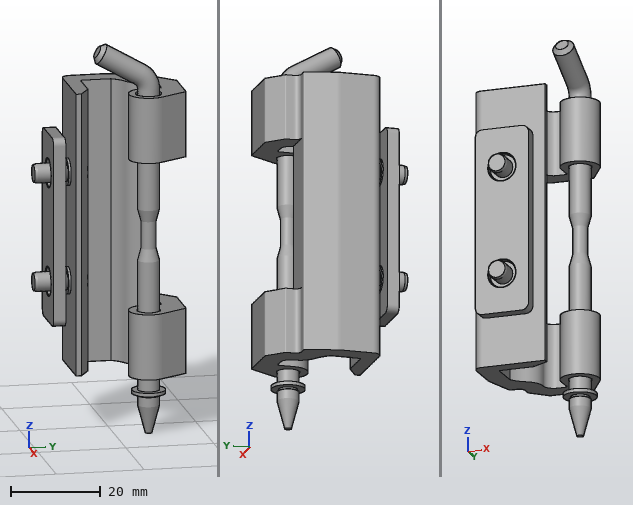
import cadquery as cq
import math

housing_bottom = 13.2
housing_height = 64.9
housing_top = housing_bottom + housing_height
mid_height = housing_bottom + housing_height / 2

pin_x = 19.5
pin_y = 16.0
pin_diameter = 4.9
pin_radius = pin_diameter / 2

stud_x = 8.5
stud_spacing = 25.0
stud_heights = [mid_height - stud_spacing / 2, mid_height + stud_spacing / 2]
stud_diameter = 4.4

knuckle_height = 15.0
barrel_radius = 4.5
cavity_right_x = pin_x - barrel_radius
bore_diameter = 5.2
countersink_diameter = 5.8
back_y = 24.5
back_left_x = 9.2
back_right_x = 19.6
ledge_y = 17.6
ledge_left_x = 2.2
ledge_right_x = 5.3
ledge_wall_top = 20.85
side_bend_y = 10.0
floor_y = 3.5
lip_x = 17.1
lip_thickness = 1.2
lip_slope_x = 13.0
cavity_left_x = 4.85
hollow_end_y = 10.4
bulge_radius = 4.8
bulge_sweep = 62
cavity_neck_x = 10.2
cavity_neck_y = 17.3
cavity_top_y = 19.9
cavity_top_radius = 2.3
cavity_corner_radius = 0.45
front_corner_radius = 2.0
ledge_root_radius = 1.35
side_bend_radius = 3.0
edge_radius = 0.45

neck_diameter = 3.4
neck_half_length = 3.1
taper_length = 2.8
groove_diameter = 4.3
groove_bottom = 8.6
groove_top = 10.0
tip_diameter = 1.5
tip_cone_length = 6.4
bend_start = housing_top + 1.1
bend_radius = 3.95
bend_angle = 60
handle_length = 11.2
handle_chamfer = 1.0

ring_diameter = 7.6
ring_thickness = 0.8

plate_width = 12.7
plate_height = 43.3
plate_thickness = 2.8
plate_gap = 1.9
plate_corner_radius = 1.6
plate_hole_diameter = 6.4
plate_hole_chamfer = 0.2

flange_diameter = 6.2
flange_thickness = 0.5
collar_start = 1.6
collar_thickness = 2.0
stud_length = 8.0
stud_tip_diameter = 3.95
stud_tip_length = 0.7
head_diameter = 6.2
head_top_diameter = 3.6
head_height = 0.5


def upright_cylinder(diameter, bottom, height):
    """Cylinder on the pin axis."""
    return cq.Workplane("XY", origin=(pin_x, pin_y, bottom)).circle(diameter / 2).extrude(height)


def barrel_tangent_point():
    """Point where the sloping line from the back right corner touches the barrel."""
    dx = back_right_x - pin_x
    dy = back_y - pin_y
    touch_angle = math.atan2(dy, dx) - math.acos(barrel_radius / math.hypot(dx, dy))
    return (
        pin_x + barrel_radius * math.cos(touch_angle),
        pin_y + barrel_radius * math.sin(touch_angle),
    )


def housing_profile():
    """Hook-shaped cross-section with sharp outer corners, extruded to full height."""
    bulge_center_x = cavity_neck_x - bulge_radius
    half_sweep = math.radians(bulge_sweep / 2)

    def bulge_point(angle):
        return (
            bulge_center_x + bulge_radius * math.cos(angle),
            cavity_neck_y - bulge_radius * math.sin(angle),
        )

    return (
        cq.Workplane("XY", origin=(0, 0, housing_bottom))
        .moveTo(0, 0)
        .lineTo(0, side_bend_y)
        .lineTo(ledge_left_x, ledge_y)
        .lineTo(ledge_right_x, ledge_y)
        .lineTo(ledge_right_x, ledge_wall_top)
        .lineTo(back_left_x, back_y)
        .lineTo(back_right_x, back_y)
        .lineTo(*barrel_tangent_point())
        .threePointArc((pin_x, pin_y - barrel_radius), (cavity_right_x, pin_y))
        .lineTo(cavity_right_x, cavity_top_y)
        .lineTo(cavity_neck_x, cavity_top_y)
        .lineTo(cavity_neck_x, cavity_neck_y)
        .threePointArc(bulge_point(half_sweep), bulge_point(2 * half_sweep))
        .tangentArcPoint((cavity_left_x, hollow_end_y), relative=False)
        .lineTo(cavity_left_x, floor_y)
        .lineTo(lip_slope_x, floor_y)
        .lineTo(lip_x, lip_thickness)
        .lineTo(lip_x, 0)
        .close()
        .extrude(housing_height)
    )


def round_upright_edges(body, corners, radius):
    """Fillet the vertical edges that stand at the given (x, y) corners."""
    for x, y in corners:
        edge = cq.selectors.NearestToPointSelector((x, y, mid_height))
        body = body.edges("|Z").edges(edge).fillet(radius)
    return body


def make_housing():
    body = housing_profile()
    body = round_upright_edges(body, [(0, 0)], front_corner_radius)
    body = round_upright_edges(body, [(0, side_bend_y)], side_bend_radius)
    body = round_upright_edges(body, [(ledge_right_x, ledge_y)], ledge_root_radius)
    body = round_upright_edges(body, [(cavity_neck_x, cavity_top_y)], cavity_top_radius)
    inner_corners = [(cavity_left_x, floor_y), (cavity_right_x, cavity_top_y)]
    body = round_upright_edges(body, inner_corners, cavity_corner_radius)
    outer_corners = [
        (ledge_left_x, ledge_y),
        (ledge_right_x, ledge_wall_top),
        (back_left_x, back_y),
        (back_right_x, back_y),
    ]
    body = round_upright_edges(body, outer_corners, edge_radius)

    gap_bottom = housing_bottom + knuckle_height
    gap_height = housing_height - 2 * knuckle_height
    for left_x, front_y in [(0, ledge_y), (cavity_neck_x, floor_y)]:
        corner = cq.Workplane("XY", origin=(left_x, front_y, gap_bottom))
        body = body.cut(corner.box(2 * pin_x, back_y, gap_height, centered=False))

    body = body.cut(upright_cylinder(bore_diameter, housing_bottom, housing_height))
    depth = (countersink_diameter - bore_diameter) / 2
    countersink = cq.Solid.makeCone(
        bore_diameter / 2,
        countersink_diameter / 2,
        depth,
        pnt=cq.Vector(pin_x, pin_y, housing_top - depth),
    )
    body = body.cut(cq.Workplane(countersink))

    for height in stud_heights:
        hole = cq.Workplane("XZ", origin=(stud_x, floor_y, height)).circle(stud_diameter / 2)
        body = body.cut(hole.extrude(floor_y))
    return body


def make_pin():
    neck_radius = neck_diameter / 2
    taper_half = neck_half_length + taper_length
    shaft = (
        cq.Workplane("XZ", origin=(pin_x, pin_y, 0))
        .moveTo(0, 0)
        .lineTo(tip_diameter / 2, 0)
        .lineTo(pin_radius, tip_cone_length)
        .lineTo(pin_radius, groove_bottom)
        .lineTo(groove_diameter / 2, groove_bottom)
        .lineTo(groove_diameter / 2, groove_top)
        .lineTo(pin_radius, groove_top)
        .lineTo(pin_radius, mid_height - taper_half)
        .lineTo(neck_radius, mid_height - neck_half_length)
        .lineTo(neck_radius, mid_height + neck_half_length)
        .lineTo(pin_radius, mid_height + taper_half)
        .lineTo(pin_radius, bend_start)
        .lineTo(0, bend_start)
        .close()
        .revolve(360, (0, 0, 0), (0, 1, 0))
    )
    bend = (
        cq.Workplane("XY", origin=(pin_x, pin_y, bend_start))
        .circle(pin_radius)
        .revolve(bend_angle, (0, -bend_radius, 0), (1, -bend_radius, 0))
    )
    angle = math.radians(bend_angle)
    handle_plane = cq.Plane(
        origin=(
            pin_x,
            pin_y - bend_radius * (1 - math.cos(angle)),
            bend_start + bend_radius * math.sin(angle),
        ),
        xDir=(1, 0, 0),
        normal=(0, -math.sin(angle), math.cos(angle)),
    )
    handle = cq.Workplane(handle_plane).circle(pin_radius).extrude(handle_length)
    handle = handle.faces("<Y").chamfer(handle_chamfer)
    return shaft.union(bend).union(handle)


def make_retaining_ring():
    """Flat ring seated in the pin groove against its upper shoulder."""
    ring_bottom = groove_top - ring_thickness
    ring = upright_cylinder(ring_diameter, ring_bottom, ring_thickness)
    return ring.cut(upright_cylinder(groove_diameter, ring_bottom, ring_thickness))


def make_plate():
    plate = (
        cq.Workplane("XZ", origin=(stud_x, -plate_gap, mid_height))
        .rect(plate_width, plate_height)
        .extrude(plate_thickness)
        .edges("|Y")
        .fillet(plate_corner_radius)
    )
    hole_points = [(0, height - mid_height) for height in stud_heights]
    return (
        plate.faces("<Y")
        .workplane(origin=(stud_x, 0, mid_height))
        .pushPoints(hole_points)
        .cskHole(plate_hole_diameter, plate_hole_diameter + 2 * plate_hole_chamfer, 90)
    )


def make_stud(height):
    """Stud clamped on the front wall by its inner head and outer flange."""
    tip_start = stud_length - stud_tip_length
    collar_end = collar_start + collar_thickness
    shank_radius = stud_diameter / 2
    return (
        cq.Workplane("XY", origin=(stud_x, 0, height))
        .moveTo(0, floor_y + head_height)
        .lineTo(head_top_diameter / 2, floor_y + head_height)
        .lineTo(head_diameter / 2, floor_y)
        .lineTo(shank_radius, floor_y)
        .lineTo(shank_radius, 0)
        .lineTo(flange_diameter / 2, 0)
        .lineTo(flange_diameter / 2, -flange_thickness)
        .lineTo(shank_radius, -flange_thickness)
        .lineTo(shank_radius, -collar_start)
        .lineTo(flange_diameter / 2, -collar_start)
        .lineTo(flange_diameter / 2, -collar_end)
        .lineTo(shank_radius, -collar_end)
        .lineTo(shank_radius, -tip_start)
        .lineTo(stud_tip_diameter / 2, -stud_length)
        .lineTo(0, -stud_length)
        .close()
        .revolve(360, (0, 0, 0), (0, 1, 0))
    )


housing = make_housing()
hinge_pin = make_pin()
retaining_ring = make_retaining_ring()
plate = make_plate()
studs = [make_stud(height) for height in stud_heights]

result = cq.Compound.makeCompound(
    [
        housing.val(),
        hinge_pin.val(),
        retaining_ring.val(),
        plate.val(),
        *[stud.val() for stud in studs],
    ]
)